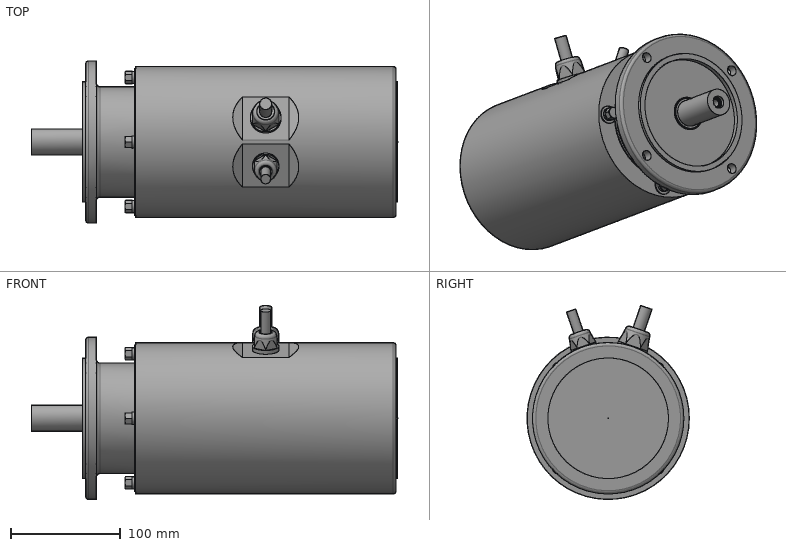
import cadquery as cq
import math

SPIGOT_X = 46.5
FLANGE_X = 49.5
HUB_X = 59.0
HOUSING_X = 95.0
END_DISC_X = 332.3
AXLE_STUB_X = 333.3
OVERALL_LENGTH = 334.0

SHAFT_DIAMETER = 24.0
SPIGOT_DIAMETER = 110.0
FLANGE_DIAMETER = 148.0
HUB_DIAMETER = 101.0
HUB_COLLAR_DIAMETER = 104.2
HOUSING_DIAMETER = 138.0
END_DISC_DIAMETER = SPIGOT_DIAMETER
AXLE_STUB_DIAMETER = 0.7

FLANGE_FILLET = 2.7
HUB_FILLET = 3.5
HUB_COLLAR_LENGTH = 1.0
HOUSING_FILLET = 3.0
RECESS_DIAMETER = 100.0
RECESS_DEPTH = 5.0
SHAFT_BOSS_DIAMETER = 30.0
SHAFT_BOSS_HEIGHT = 0.7
SHAFT_LIP_DIAMETER = 28.0
SHAFT_LIP_HEIGHT = 1.0
MOUNTING_HOLE_DIAMETER = 9.0
MOUNTING_HOLE_CIRCLE = 130.0
MOUNTING_HOLE_COUNT = 4
FIRST_MOUNTING_HOLE_ANGLE = 45
CENTRE_HOLE_DIAMETER = 7.0
CENTRE_HOLE_DEPTH = 13.5
CENTRE_MOUTH_DIAMETER = 11.0
CENTRE_MOUTH_DEPTH = 3.5
CENTRE_STEP_DIAMETER = 9.0
CENTRE_STEP_DEPTH = 5.5
DRILL_POINT_ANGLE = 118

SCREW_CIRCLE_RADIUS = 58.8
SCREW_COUNT = 4
WASHER_DIAMETER = 16.0
WASHER_THICKNESS = 1.0
SPRING_WASHER_DIAMETER = 11.5
SPRING_WASHER_THICKNESS = 2.5
SCREW_HEAD_FLATS = 10.0
SCREW_HEAD_HEIGHT = 6.5
SCREW_HEAD_CHAMFER = 0.85

PAD_X = 213.5
PAD_TILT = 19.0
PAD_WIDTH = 41.5
PAD_LENGTH = 42.5
PAD_TOP_LENGTH = 60.0
PAD_HEIGHT = math.sqrt((HOUSING_DIAMETER / 2) ** 2 - (PAD_WIDTH / 2) ** 2)
PAD_DEPTH = HOUSING_DIAMETER / 2 - PAD_HEIGHT

GLAND_BASE_RATIO = 1.2
GLAND_BASE_HEIGHT = 3.7
GLAND_FLAT_ALLOWANCE = 0.7
GLAND_HEXAGON_TURN = 30
GLAND_ROUNDING = 3.5
GLAND_MOUTH_DEPTH = 1.0


def along_x(start, diameter, length):
    """Cylinder on the motor axis."""
    return cq.Workplane("YZ", origin=(start, 0, 0)).circle(diameter / 2).extrude(length)


def hexagon_diameter(across_flats):
    """Diameter across the corners of a hexagon."""
    return across_flats / math.cos(math.pi / 6)


def make_flange():
    disc = along_x(FLANGE_X, FLANGE_DIAMETER, HUB_X - FLANGE_X).faces("<X").edges().fillet(FLANGE_FILLET)
    spigot = along_x(SPIGOT_X, SPIGOT_DIAMETER, FLANGE_X - SPIGOT_X)
    recess = along_x(SPIGOT_X, RECESS_DIAMETER, RECESS_DEPTH)
    recess_floor_x = SPIGOT_X + RECESS_DEPTH
    shaft_boss = along_x(recess_floor_x - SHAFT_BOSS_HEIGHT, SHAFT_BOSS_DIAMETER, SHAFT_BOSS_HEIGHT)
    shaft_lip = along_x(recess_floor_x - SHAFT_LIP_HEIGHT, SHAFT_LIP_DIAMETER, SHAFT_LIP_HEIGHT)
    holes = (
        cq.Workplane("YZ", origin=(FLANGE_X, 0, 0))
        .polarArray(MOUNTING_HOLE_CIRCLE / 2, FIRST_MOUNTING_HOLE_ANGLE, 360, MOUNTING_HOLE_COUNT)
        .circle(MOUNTING_HOLE_DIAMETER / 2)
        .extrude(HUB_X - FLANGE_X)
    )
    return disc.union(spigot).cut(recess).union(shaft_boss).union(shaft_lip).cut(holes)


def make_hub():
    """Neck between flange and housing, flared into the flange by a concave fillet."""
    radius = HUB_DIAMETER / 2
    corner = HUB_FILLET * (1 - math.sqrt(0.5))
    neck = (
        cq.Workplane("XY")
        .moveTo(HUB_X, 0)
        .lineTo(HUB_X, radius + HUB_FILLET)
        .threePointArc((HUB_X + corner, radius + corner), (HUB_X + HUB_FILLET, radius))
        .lineTo(HOUSING_X, radius)
        .lineTo(HOUSING_X, 0)
        .close()
        .revolve(360, (0, 0, 0), (1, 0, 0))
    )
    return neck.union(along_x(HOUSING_X - HUB_COLLAR_LENGTH, HUB_COLLAR_DIAMETER, HUB_COLLAR_LENGTH))


def make_pad_cutter(tilt):
    """Trapezoidal groove that leaves a flat pad with sloping ends in the housing."""
    taper_run = (PAD_TOP_LENGTH - PAD_LENGTH) / 2
    profile = [
        (-PAD_LENGTH / 2, 0),
        (PAD_LENGTH / 2, 0),
        (PAD_LENGTH / 2 + taper_run, PAD_DEPTH),
        (-PAD_LENGTH / 2 - taper_run, PAD_DEPTH),
    ]
    groove = cq.Workplane("XZ").polyline(profile).close().extrude(PAD_WIDTH / 2, both=True)
    return groove.translate((PAD_X, 0, PAD_HEIGHT)).rotate((0, 0, 0), (1, 0, 0), -tilt)


def make_housing():
    shell = along_x(HOUSING_X, HOUSING_DIAMETER, END_DISC_X - HOUSING_X)
    shell = shell.faces(">X").edges().fillet(HOUSING_FILLET)
    for tilt in (PAD_TILT, -PAD_TILT):
        shell = shell.cut(make_pad_cutter(tilt))
    end_disc = along_x(END_DISC_X, END_DISC_DIAMETER, AXLE_STUB_X - END_DISC_X)
    axle_stub = along_x(AXLE_STUB_X, AXLE_STUB_DIAMETER, OVERALL_LENGTH - AXLE_STUB_X)
    return shell.union(end_disc).union(axle_stub)


def make_shaft():
    mouth = CENTRE_MOUTH_DIAMETER / 2
    step = CENTRE_STEP_DIAMETER / 2
    hole = CENTRE_HOLE_DIAMETER / 2
    point = hole / math.tan(math.radians(DRILL_POINT_ANGLE / 2))
    centre_hole = (
        cq.Workplane("XY")
        .polyline([
            (0, 0),
            (0, mouth),
            (CENTRE_MOUTH_DEPTH, mouth),
            (CENTRE_MOUTH_DEPTH, step),
            (CENTRE_STEP_DEPTH, step),
            (CENTRE_STEP_DEPTH, hole),
            (CENTRE_HOLE_DEPTH, hole),
            (CENTRE_HOLE_DEPTH + point, 0),
        ])
        .close()
        .revolve(360, (0, 0, 0), (1, 0, 0))
    )
    return along_x(0, SHAFT_DIAMETER, HUB_X).cut(centre_hole)


def make_screws():
    """Hex heads on a spring washer and a flat washer, one corner pointing outward."""
    washer_x = HOUSING_X - WASHER_THICKNESS
    spring_x = washer_x - SPRING_WASHER_THICKNESS
    head_x = spring_x - SCREW_HEAD_HEIGHT
    corners = hexagon_diameter(SCREW_HEAD_FLATS)
    hexagon = cq.Workplane("YZ", origin=(head_x, 0, 0)).polygon(6, corners).extrude(SCREW_HEAD_HEIGHT)
    blank = along_x(head_x, corners, SCREW_HEAD_HEIGHT).faces("<X").edges().chamfer(SCREW_HEAD_CHAMFER)
    screw = (
        hexagon.intersect(blank)
        .union(along_x(spring_x, SPRING_WASHER_DIAMETER, SPRING_WASHER_THICKNESS))
        .union(along_x(washer_x, WASHER_DIAMETER, WASHER_THICKNESS))
        .translate((0, SCREW_CIRCLE_RADIUS, 0))
    )
    return [screw.rotate((0, 0, 0), (1, 0, 0), i * 360 / SCREW_COUNT) for i in range(SCREW_COUNT)]


def make_motor():
    motor = make_housing().union(make_hub()).union(make_flange()).union(make_shaft())
    for screw in make_screws():
        motor = motor.union(screw)
    return motor


def make_gland(tilt, cap_diameter, height, mouth_diameter, cable_diameter, cable_length):
    """Cable gland standing on its pad: round base, tapered hexagon, rounded cap and the cable stub."""
    base_diameter = cap_diameter * GLAND_BASE_RATIO
    flats = cap_diameter + GLAND_FLAT_ALLOWANCE
    cap = cap_diameter / 2
    arc = GLAND_ROUNDING * (1 - math.sqrt(0.5))
    body = (
        cq.Workplane("XZ")
        .moveTo(0, 0)
        .lineTo(base_diameter / 2, 0)
        .lineTo(base_diameter / 2, GLAND_BASE_HEIGHT)
        .lineTo(cap, height - GLAND_ROUNDING)
        .threePointArc((cap - arc, height - arc), (cap - GLAND_ROUNDING, height))
        .lineTo(0, height)
        .close()
        .revolve(360, (0, 0, 0), (0, 1, 0))
    )
    hexagon = (
        cq.Workplane("XY")
        .transformed(rotate=(0, 0, GLAND_HEXAGON_TURN))
        .polygon(6, hexagon_diameter(flats))
        .extrude(height)
        .union(cq.Workplane("XY").circle(base_diameter / 2).extrude(GLAND_BASE_HEIGHT))
    )
    mouth = (
        cq.Workplane("XY", origin=(0, 0, height))
        .circle(mouth_diameter / 2)
        .extrude(-GLAND_MOUTH_DEPTH)
    )
    cable = cq.Workplane("XY").circle(cable_diameter / 2).extrude(cable_length)
    gland = body.intersect(hexagon).cut(mouth).union(cable)
    return gland.translate((PAD_X, 0, PAD_HEIGHT)).rotate((0, 0, 0), (1, 0, 0), -tilt)


motor = make_motor()
power_gland = make_gland(
    PAD_TILT, cap_diameter=23.5, height=20.0, mouth_diameter=16.0, cable_diameter=11.0, cable_length=41.0
)
signal_gland = make_gland(
    -PAD_TILT, cap_diameter=20.0, height=17.5, mouth_diameter=11.5, cable_diameter=9.0, cable_length=38.0
)

result = cq.Compound.makeCompound([motor.val(), power_gland.val(), signal_gland.val()])